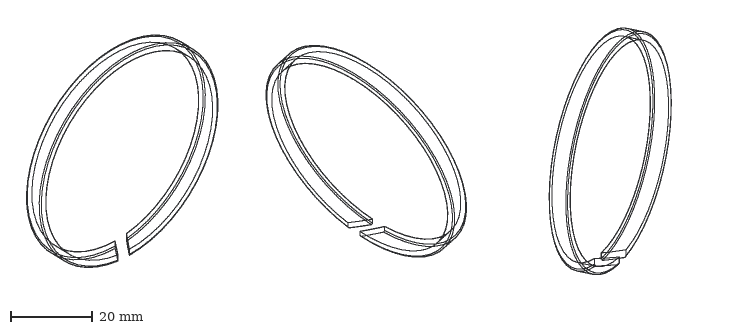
import cadquery as cq

outer_diameter = 61.0
inner_diameter = 56.85
width = 5.0
chamfer_radial = 0.5
chamfer_axial = 0.25

gap_reach = 3.85
tip_offset = 0.05

outer_radius = outer_diameter / 2
inner_radius = inner_diameter / 2
half_width = width / 2


def make_ring():
    """Revolve the band section, chamfered on both outer edges."""
    shoulder_radius = outer_radius - chamfer_radial
    crown_half_width = half_width - chamfer_axial
    section = [
        (-half_width, -inner_radius),
        (half_width, -inner_radius),
        (half_width, -shoulder_radius),
        (crown_half_width, -outer_radius),
        (-crown_half_width, -outer_radius),
        (-half_width, -shoulder_radius),
    ]
    return cq.Workplane("XZ").polyline(section).close().revolve(360, (0, 0, 0), (1, 0, 0))


def make_gap_cutter():
    """Prism with parallel skew walls, reaching from the axis down past the ring."""
    outline = [
        (-half_width, -tip_offset),
        (-half_width, gap_reach),
        (half_width, tip_offset),
        (half_width, -gap_reach),
    ]
    return cq.Workplane("XY").polyline(outline).close().extrude(-outer_diameter)


result = make_ring().cut(make_gap_cutter())